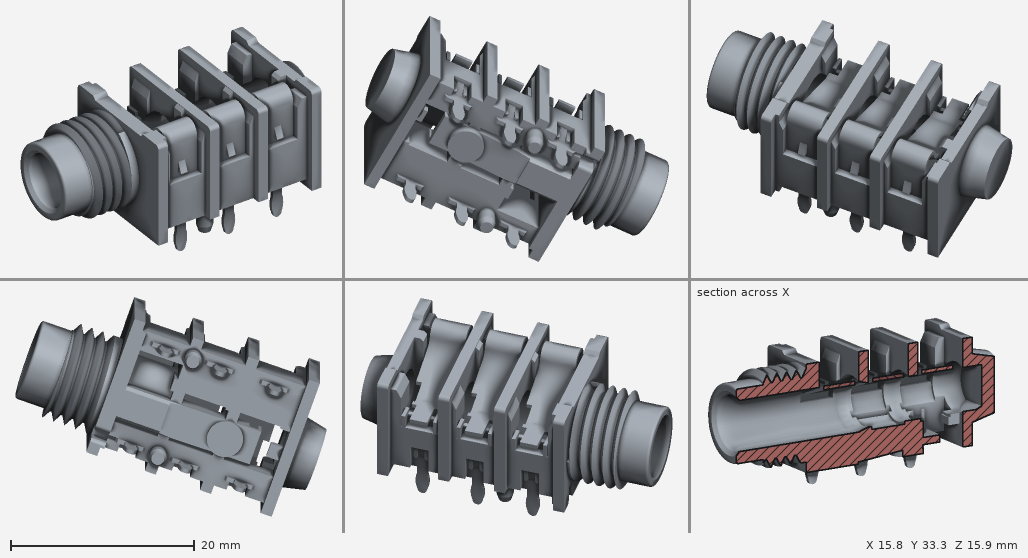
import cadquery as cq
import math


PLATE_LEFT = -6.43
PLATE_RIGHT = 9.32
PLATE_TOP = 6.23
END_PLATE_BOTTOM = -6.53
PLATE_CORNER_R = 0.5
PLATE_T = 1.25
FLANGE_STEP_Y = 1.73
PLATE_FRONTS = [0.0, 6.8, 13.2, 20.2]
PLATE_REARS = [front + PLATE_T for front in PLATE_FRONTS]
RECESS_LEFT = -3.43
RECESS_RIGHT = 6.3
RECESS_DEPTH = 0.43

BAY_PITCH = 6.33
BAY_CENTRES = [4.3 + BAY_PITCH * i for i in range(3)]
NOTCH_HALF = 2.1
SHEET_T = 0.45

BODY_BOTTOM = -5.53
LEFT_WALL_X = (-5.43, -2.4)
RIGHT_WALL_X = (6.05, 8.3)
SILL_Z = 0.0
GUIDE_Z = 4.03
GUIDE_TOP = 5.05
REAR_GUIDE_Y = 19.58
RIB_X = (2.93, 4.3)
RIB_DEPTH = 0.4
REAR_RIB_DEPTH = 1.03
RIB_TOP = 6.13
REAR_RIB_TOP = PLATE_TOP - RECESS_DEPTH
RIB_CHAMFER = 0.35

BARREL_R = 4.5
BARREL_FRONT = -9.0
BARREL_EDGE_R = 0.3
BORE_R = 3.215
BORE_MOUTH_R = 3.63
REAR_BORE_R = 2.85
BORE_END = 22.65
BAY_POCKET_R = 3.15
RAMP_Z = -2.2
NOSE_END = 24.3
NOSE_BASE_R = 4.15
NOSE_TIP_R = 3.53

THREAD_R = 5.545
THREAD_ROOT_R = 4.6
THREAD_PITCH = 1.25
THREAD_LENGTH = 5.5
THREAD_LEFT_CREST = -0.33
THREAD_TURNS = 6
THREAD_BASE_R = 4.45
THREAD_CLEARANCE = 0.03
RUN_IN_R = 5.53
RUN_IN_X = 2.73

FLOOR_HALF = 1.915
FLOOR_REAR = 17.3
KEEL_FRONT_Z = -6.3
KEEL_REAR_Y = 15.32
KEEL_CHAMFER = 0.35
FOOT_R = 3.95 / 2
FOOT_Y = 13.8
DIMPLE_Y = 16.5
DIMPLE_FLOOR = -4.65
LEDGE_HALF = 0.75
LEDGE_FRONT = 18.85
LEDGE_BOTTOM = -4.0
PEG_R = 1.9 / 2
PEG_TIP_R = 0.7
PEG_SHOULDER = -7.3
PEG_END = -8.13
PEG_Y = 7.5

LEFT_TAIL_X = -4.2
RIGHT_TAIL_X = 7.23
TAIL_HALF = 1.05
TAIL_SLOT_TOP = -2.6
SHOULDER_TOP_HALF = 1.7
SHOULDER_BOTTOM_HALF = 1.45
SHOULDER_BOTTOM = -6.03
PIN_HALF = 0.6
PIN_BULGE_HALF = 0.75
PIN_BULGE_Z = -8.15
PIN_SIDE_END = -7.0
PIN_TIP_R = 0.53
PIN_END = -9.65
FLANGE_SLOT_X = (-4.75, -3.65)
FLANGE_SLOT_TOP = -4.3
FLANGE_SLOT_FLARE = 0.45

CLIP_Z = -4.63
CLIP_Y = (0.4, 0.85)
CLIP_DEPTH = 0.33
CLIP_CHAMFER = 0.2
CLIP_LANCE_DEPTH = 0.53
ARM_OUTER_Y = 2.0
ARM_T = 0.4
ARM_X = -5.55
ARM_TOP = 1.7

SPRING_HALF = 2.03
SPRING_NARROW_Y = 1.35
SPRING_NARROW_X = -0.23
EAR_Y = 1.55
EAR_RIGHT_X = -2.7
TAB_X = -5.75
TAB_HALF = 1.0
TAB_ROOT_X = -3.23
BEND_X = -2.25
TAB_TOP = 1.63
ROLL_R = 1.43
ROLL_TOP = 6.03
VALLEY_R = 1.3
SPRING_TILT = math.radians(20)
RISER_TILT = math.radians(74)
RISER_LENGTH = 0.3
LANCE_Z = (0.65, 2.0)
LANCE_HALF = 0.43
LANCE_DEPTH = 0.55


def box(x, y, z):
    """Box from three (low, high) ranges."""
    size = [high - low for low, high in (x, y, z)]
    return cq.Workplane("XY").box(*size, centered=False).translate((x[0], y[0], z[0]))


def prism_along_x(points, x):
    """Extrude a polygon of (Y, Z) points over an X range."""
    return cq.Workplane("YZ", origin=(x[0], 0, 0)).polyline(points).close().extrude(x[1] - x[0])


def prism_along_y(points, y):
    """Extrude a polygon of (X, Z) points over a Y range."""
    return cq.Workplane("XZ", origin=(0, y[0], 0)).polyline(points).close().extrude(y[0] - y[1])


def turned(points):
    """Revolve a polygon of (radius, Y) points about the jack axis."""
    return cq.Workplane("XY").polyline(points).close().revolve(360, (0, 0, 0), (0, 1, 0))


def cylinder_along_y(radius, y):
    return turned([(0, y[0]), (radius, y[0]), (radius, y[1]), (0, y[1])])



def plate(front, bottom):
    body = box((PLATE_LEFT, PLATE_RIGHT), (front, front + PLATE_T), (bottom, PLATE_TOP))
    return body.edges("|Y and >Z").fillet(PLATE_CORNER_R)


def end_plate_recess(y):
    floor = PLATE_TOP - RECESS_DEPTH
    return prism_along_y(
        [
            (RECESS_LEFT, PLATE_TOP),
            (RECESS_LEFT + RECESS_DEPTH, floor),
            (RECESS_RIGHT - RECESS_DEPTH, floor),
            (RECESS_RIGHT, PLATE_TOP),
        ],
        y,
    )


def side_wall(x):
    """Wall with one notch per bay and sloped guides beside each notch."""
    points = [(PLATE_FRONTS[0], BODY_BOTTOM), (PLATE_FRONTS[0], GUIDE_TOP)]
    guide_starts = [FLANGE_STEP_Y] + PLATE_REARS[1:3]
    guide_ends = PLATE_FRONTS[1:3] + [REAR_GUIDE_Y]
    for centre, start, end in zip(BAY_CENTRES, guide_starts, guide_ends):
        points += [
            (start, GUIDE_TOP),
            (centre - NOTCH_HALF, GUIDE_Z),
            (centre - NOTCH_HALF, SILL_Z),
            (centre + NOTCH_HALF, SILL_Z),
            (centre + NOTCH_HALF, GUIDE_Z),
            (end, GUIDE_TOP),
        ]
    points += [(PLATE_FRONTS[3], GUIDE_TOP), (PLATE_FRONTS[3], BODY_BOTTOM)]
    return prism_along_x(points, x)


def rib(plate_front, depth, top):
    """Upright rib on the front of a plate, chamfered along its top."""
    face = plate_front - depth
    return prism_along_x(
        [
            (plate_front, BODY_BOTTOM),
            (plate_front, top),
            (face + RIB_CHAMFER, top),
            (face, top - RIB_CHAMFER),
            (face, BODY_BOTTOM),
        ],
        RIB_X,
    )


def threaded_sleeve():
    """Solid core with a right-handed V thread, cut flat at both ends.

    It is built upright along Z, from its free end at Z = 0, and then laid along Y.
    """
    half_base = (THREAD_PITCH - THREAD_CLEARANCE) / 2
    helix = cq.Wire.makeHelix(THREAD_PITCH, THREAD_TURNS * THREAD_PITCH, THREAD_BASE_R)
    ridge = (
        cq.Workplane("XZ")
        .polyline([(THREAD_BASE_R, -half_base), (THREAD_R, 0), (THREAD_BASE_R, half_base)])
        .close()
        .sweep(cq.Workplane(obj=helix), isFrenet=True)
    )
    first_crest = THREAD_LEFT_CREST + THREAD_LENGTH - 5.5 * THREAD_PITCH
    ridge = ridge.translate((0, 0, first_crest))
    span = (-THREAD_LENGTH, 2 * THREAD_LENGTH)
    core = cq.Workplane("XY", origin=(0, 0, span[0])).circle(THREAD_ROOT_R).extrude(span[1] - span[0])
    width = (-THREAD_R - 0.33, THREAD_R + 0.33)
    sleeve = core.union(ridge).intersect(box(width, width, (0, THREAD_LENGTH)))
    return sleeve.rotate((0, 0, 0), (1, 0, 0), -90).translate((0, -THREAD_LENGTH, 0))


def threaded_barrel():
    barrel = cylinder_along_y(BARREL_R, (BARREL_FRONT, 0))
    barrel = barrel.faces("<Y").edges().fillet(BARREL_EDGE_R)
    run_in_wedge = (
        cq.Workplane("XY", origin=(0, 0, -THREAD_R))
        .polyline(
            [
                (-THREAD_R, 0),
                (-THREAD_R, THREAD_LEFT_CREST),
                (THREAD_R, THREAD_LEFT_CREST - THREAD_PITCH / 2),
                (THREAD_R, 0),
            ]
        )
        .close()
        .extrude(2 * THREAD_R)
        .cut(box((-THREAD_R, RUN_IN_X), (-THREAD_LENGTH, 0), (0, THREAD_R)))
    )
    run_in = run_in_wedge.intersect(cylinder_along_y(RUN_IN_R, (-THREAD_LENGTH, 0)))
    return threaded_sleeve().union(barrel).union(run_in)


def bore():
    ring_front = PLATE_FRONTS[1]
    ring_rear = PLATE_REARS[1]
    cavity = turned(
        [
            (0, BARREL_FRONT),
            (BORE_MOUTH_R, BARREL_FRONT),
            (BORE_R, BARREL_FRONT + BORE_MOUTH_R - BORE_R),
            (BORE_R, ring_front),
            (REAR_BORE_R, ring_rear),
            (REAR_BORE_R, BORE_END),
            (0, BORE_END),
        ]
    )
    for centre in BAY_CENTRES[1:]:
        cavity = cavity.union(
            cylinder_along_y(BAY_POCKET_R, (centre - NOTCH_HALF, centre + NOTCH_HALF))
        )
    ramp = prism_along_x(
        [(PLATE_FRONTS[3], -BAY_POCKET_R), (BORE_END, RAMP_Z), (BORE_END, -BAY_POCKET_R)],
        (-BORE_R, BORE_R),
    )
    return cavity.cut(ramp)


def lower_tube():
    """Lower half of the barrel continued through the first bay."""
    y = (PLATE_FRONTS[0], PLATE_FRONTS[1])
    half = box((-BARREL_R, BARREL_R), y, (-BARREL_R, SILL_Z))
    return cylinder_along_y(BARREL_R, y).intersect(half)


def bore_floor():
    """Strip under the bore with a keel that runs out to the rear."""
    strip = prism_along_x(
        [
            (PLATE_FRONTS[0], END_PLATE_BOTTOM),
            (PLATE_FRONTS[1], END_PLATE_BOTTOM),
            (PLATE_FRONTS[1], KEEL_FRONT_Z),
            (KEEL_REAR_Y, BODY_BOTTOM),
            (FLOOR_REAR, BODY_BOTTOM),
            (FLOOR_REAR, RAMP_Z),
            (PLATE_FRONTS[0], RAMP_Z),
        ],
        (-FLOOR_HALF, FLOOR_HALF),
    )
    front_edges = strip.faces("<Z").edges("|Y")
    return front_edges.chamfer(KEEL_CHAMFER)


def disc(radius, y, z):
    return cq.Workplane("XY", origin=(0, y, z[0])).circle(radius).extrude(z[1] - z[0])


def peg(x):
    profile = [
        (0, BODY_BOTTOM),
        (PEG_R, BODY_BOTTOM),
        (PEG_R, PEG_SHOULDER),
        (PEG_TIP_R, PEG_END),
        (0, PEG_END),
    ]
    turned_peg = cq.Workplane("XZ").polyline(profile).close().revolve(360, (0, 0, 0), (0, 1, 0))
    return turned_peg.translate((x, PEG_Y, 0))


def flange_slot():
    """Slot through the lower edge of the flange, flared with rounds at its mouth."""
    left, right = FLANGE_SLOT_X
    mouth = END_PLATE_BOTTOM
    flare_top = mouth + FLANGE_SLOT_FLARE
    diagonal = FLANGE_SLOT_FLARE * (1 - math.sqrt(0.5))
    return (
        cq.Workplane("XZ")
        .moveTo(left, FLANGE_SLOT_TOP)
        .lineTo(right, FLANGE_SLOT_TOP)
        .lineTo(right, flare_top)
        .threePointArc((right + diagonal, mouth + diagonal), (right + FLANGE_SLOT_FLARE, mouth))
        .lineTo(left - FLANGE_SLOT_FLARE, mouth)
        .threePointArc((left - diagonal, mouth + diagonal), (left, flare_top))
        .close()
        .extrude(-FLANGE_STEP_Y)
    )


def make_housing():
    body = side_wall(LEFT_WALL_X).union(side_wall(RIGHT_WALL_X))
    inner_block = box(
        (0, RIGHT_WALL_X[0]), (PLATE_REARS[1], PLATE_FRONTS[3]), (BODY_BOTTOM, SILL_Z)
    )
    inner_block = inner_block.cut(
        box((0, BAY_POCKET_R), (PLATE_REARS[1], PLATE_FRONTS[3]), (BODY_BOTTOM, SILL_Z))
    )
    body = body.union(inner_block)
    for front in (PLATE_FRONTS[0], PLATE_FRONTS[3]):
        body = body.union(plate(front, END_PLATE_BOTTOM))
    for front in PLATE_FRONTS[1:3]:
        body = body.union(plate(front, BODY_BOTTOM))
        body = body.union(rib(front, RIB_DEPTH, RIB_TOP))
    body = body.union(rib(PLATE_FRONTS[3], REAR_RIB_DEPTH, REAR_RIB_TOP))
    flange_back = box(
        (LEFT_WALL_X[0], RIGHT_WALL_X[1]), (0, FLANGE_STEP_Y), (END_PLATE_BOTTOM, PLATE_TOP)
    )
    body = body.union(flange_back)
    body = body.cut(end_plate_recess((0, FLANGE_STEP_Y)))
    body = body.cut(end_plate_recess((PLATE_FRONTS[3], PLATE_REARS[3])))

    nose = turned(
        [
            (0, PLATE_REARS[3]),
            (NOSE_BASE_R, PLATE_REARS[3]),
            (NOSE_TIP_R, NOSE_END),
            (0, NOSE_END),
        ]
    )
    ledge = box(
        (-LEDGE_HALF, LEDGE_HALF), (LEDGE_FRONT, PLATE_FRONTS[3]), (LEDGE_BOTTOM, RAMP_Z)
    )
    for feature in (
        nose,
        ledge,
        lower_tube(),
        bore_floor(),
        disc(FOOT_R, FOOT_Y, (END_PLATE_BOTTOM, BODY_BOTTOM)),
        peg(LEFT_TAIL_X),
        peg(RIGHT_TAIL_X),
        threaded_barrel(),
    ):
        body = body.union(feature)

    body = body.cut(bore()).cut(flange_slot())
    body = body.cut(disc(FOOT_R, DIMPLE_Y, (DIMPLE_FLOOR, RAMP_Z)))
    outer_face = LEFT_TAIL_X - SHEET_T / 2
    groove_x = (outer_face, outer_face + SHEET_T)
    groove_y = (FLANGE_STEP_Y, BAY_CENTRES[0] - TAIL_HALF)
    body = body.cut(box(groove_x, groove_y, (BODY_BOTTOM, FLANGE_SLOT_TOP)))
    for centre in BAY_CENTRES:
        slot_y = (centre - TAIL_HALF, centre + TAIL_HALF)
        slot_x = (LEFT_WALL_X[0], outer_face)
        body = body.cut(box(slot_x, slot_y, (BODY_BOTTOM, TAIL_SLOT_TOP)))
    return body



def tail(middle_x):
    """Flat tail below the sill: stem, shoulders and a bulged solder pin, centred on Y = 0."""
    return (
        cq.Workplane("YZ", origin=(middle_x - SHEET_T / 2, 0, 0))
        .moveTo(-TAIL_HALF, SILL_Z)
        .lineTo(-TAIL_HALF, BODY_BOTTOM)
        .lineTo(-SHOULDER_TOP_HALF, BODY_BOTTOM)
        .lineTo(-SHOULDER_BOTTOM_HALF, SHOULDER_BOTTOM)
        .lineTo(-PIN_HALF, SHOULDER_BOTTOM)
        .lineTo(-PIN_HALF, PIN_SIDE_END)
        .threePointArc((-PIN_BULGE_HALF, PIN_BULGE_Z), (-PIN_TIP_R, PIN_END + PIN_TIP_R))
        .threePointArc((0, PIN_END), (PIN_TIP_R, PIN_END + PIN_TIP_R))
        .threePointArc((PIN_BULGE_HALF, PIN_BULGE_Z), (PIN_HALF, PIN_SIDE_END))
        .lineTo(PIN_HALF, SHOULDER_BOTTOM)
        .lineTo(SHOULDER_BOTTOM_HALF, SHOULDER_BOTTOM)
        .lineTo(SHOULDER_TOP_HALF, BODY_BOTTOM)
        .lineTo(TAIL_HALF, BODY_BOTTOM)
        .lineTo(TAIL_HALF, SILL_Z)
        .close()
        .extrude(SHEET_T)
    )


def make_switch_contact(centre):
    """Fixed contact: a tail, a channel open to -X above the sill, and clips in the tail slot."""
    sheet_x = (LEFT_TAIL_X - SHEET_T / 2, LEFT_TAIL_X + SHEET_T / 2)
    base_y = (-ARM_OUTER_Y, ARM_OUTER_Y)
    contact = tail(LEFT_TAIL_X).union(box(sheet_x, base_y, (SILL_Z, TAB_TOP - SHEET_T)))
    arm_inner = ARM_OUTER_Y - ARM_T
    for arm_y in ((-ARM_OUTER_Y, -arm_inner), (arm_inner, ARM_OUTER_Y)):
        contact = contact.union(box((ARM_X, sheet_x[1]), arm_y, (SILL_Z, ARM_TOP)))

    clip_x = (sheet_x[0] - CLIP_DEPTH, sheet_x[0])
    for side in (-1, 1):
        clip_y = sorted((side * CLIP_Y[0], side * CLIP_Y[1]))
        clip = box(clip_x, clip_y, (CLIP_Z, TAIL_SLOT_TOP))
        contact = contact.union(clip.edges("|X and <Z").chamfer(CLIP_CHAMFER))
    lance = prism_along_y(
        [
            (sheet_x[0], CLIP_Z),
            (sheet_x[0] - CLIP_LANCE_DEPTH, TAIL_SLOT_TOP),
            (sheet_x[0], TAIL_SLOT_TOP),
        ],
        (-CLIP_Y[0], CLIP_Y[0]),
    )
    return contact.union(lance).translate((0, centre, 0))


def spring_strip():
    """Bent strip from the tab over the roll down to the sill, cut from one sheet."""
    roll_x = RIGHT_TAIL_X + SHEET_T / 2 - ROLL_R
    roll_z = ROLL_TOP - ROLL_R
    bend_mid = (SPRING_TILT + RISER_TILT) / 2
    roll_mid = RISER_TILT / 2 - math.pi / 4

    def on_roll(tilt):
        return (roll_x - ROLL_R * math.sin(tilt), roll_z + ROLL_R * math.cos(tilt))

    riser_top = on_roll(RISER_TILT)
    riser_foot = (
        riser_top[0] - RISER_LENGTH * math.cos(RISER_TILT),
        riser_top[1] - RISER_LENGTH * math.sin(RISER_TILT),
    )
    valley_x = riser_foot[0] - VALLEY_R * math.sin(RISER_TILT)
    valley_z = riser_foot[1] + VALLEY_R * math.cos(RISER_TILT)

    def in_valley(tilt):
        return (valley_x + VALLEY_R * math.sin(tilt), valley_z - VALLEY_R * math.cos(tilt))

    tab_end = ((TAB_X, TAB_TOP), 0)
    tab_bend = ((BEND_X, TAB_TOP), SPRING_TILT / 2)
    valley = [(in_valley(tilt), tilt) for tilt in (SPRING_TILT, bend_mid, RISER_TILT)]
    roll = [(on_roll(tilt), tilt) for tilt in (RISER_TILT, roll_mid, -math.pi / 2)]
    foot = ((roll_x + ROLL_R, SILL_Z), -math.pi / 2)

    def lower(station):
        (x, z), tilt = station
        return (x + SHEET_T * math.sin(tilt), z - SHEET_T * math.cos(tilt))

    outline = (
        cq.Workplane("XZ", origin=(0, SPRING_HALF, 0))
        .moveTo(*tab_end[0])
        .lineTo(*tab_bend[0])
        .lineTo(*valley[0][0])
        .threePointArc(valley[1][0], valley[2][0])
        .lineTo(*roll[0][0])
        .threePointArc(roll[1][0], roll[2][0])
        .lineTo(*foot[0])
        .lineTo(*lower(foot))
        .lineTo(*lower(roll[2]))
        .threePointArc(lower(roll[1]), lower(roll[0]))
        .lineTo(*lower(valley[2]))
        .threePointArc(lower(valley[1]), lower(valley[0]))
        .lineTo(*lower(tab_bend))
        .lineTo(*lower(tab_end))
        .close()
    )
    strip = outline.extrude(2 * SPRING_HALF)

    height = (SILL_Z, ROLL_TOP)
    strip = strip.cut(box((TAB_X, SPRING_NARROW_X), (EAR_Y, SPRING_HALF), height))
    strip = strip.cut(box((EAR_RIGHT_X, SPRING_NARROW_X), (SPRING_NARROW_Y, SPRING_HALF), height))
    for y in ((-SPRING_HALF, -TAB_HALF), (TAB_HALF, SPRING_HALF)):
        strip = strip.cut(box((TAB_X, TAB_ROOT_X), y, height))
    return strip


def make_spring_contact(centre):
    """Moving contact: the bent strip, a retaining lance and a tail."""
    outer_face = RIGHT_TAIL_X + SHEET_T / 2
    lance = prism_along_y(
        [
            (outer_face, LANCE_Z[0]),
            (outer_face + LANCE_DEPTH, LANCE_Z[0]),
            (outer_face, LANCE_Z[1]),
        ],
        (-LANCE_HALF, LANCE_HALF),
    )
    contact = spring_strip().union(tail(RIGHT_TAIL_X)).union(lance)
    return contact.translate((0, centre, 0))


switch_contacts = [make_switch_contact(centre) for centre in BAY_CENTRES]
spring_contacts = [make_spring_contact(centre) for centre in BAY_CENTRES]

housing = make_housing()
for contact in switch_contacts + spring_contacts:
    housing = housing.cut(contact)

result = cq.Compound.makeCompound(
    [
        housing.val(),
        *[contact.val() for contact in switch_contacts],
        *[contact.val() for contact in spring_contacts],
    ]
)